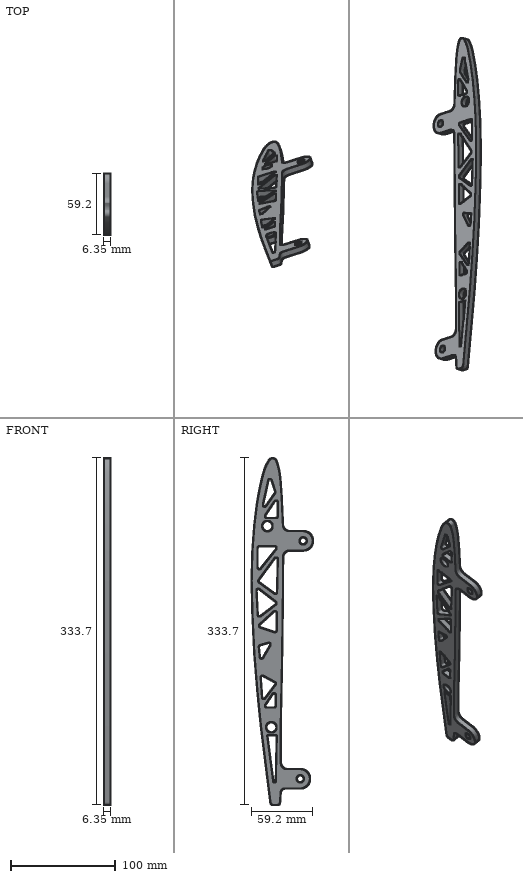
import cadquery as cq
thickness = 6.35
height = 333.72
width = 59.22

tip_back = (24.2, 330.9)
tip = (20.3, height)
tip_front = (16.6, 331.4)
bulge = (0.0, 215.0)
front_edge_above_bulge = [(14.2, 327.2), (10.1, 314.7), (5.9, 294.5), (2.9, 271.9), (0.7, 243.5)]
front_edge_below_bulge = [(0.8, 182.9), (2.5, 147.4), (4.9, 116.5), (8.9, 76.0)]
foot_front = (18.4, 0.0)
foot_back = (27.4, 0.0)
foot_corner_radius = 3.0
back_edge = [(28.2, 12.0), (28.2, 50.0), (29.2, 123.0), (30.3, 197.0), (30.6, 240.0), (30.4, 270.0)]
back_edge_near_tip = [(29.2, 296.0), (28.1, 311.5), (27.0, 320.5), tip_back]

lug_radius = 9.525
lug_bore_diameter = 6.6
lug_inner_y = 20.0
upper_lug_center = (width - lug_radius, 254.2)
lower_lug_center = (46.9, 25.4)
lug_root_radius = 6.0
foot_root_radius = 4.0
root_y = 29.5
root_reach = 3.0

cross_hole_diameter = 9.8
cross_hole_centers = [(15.3, 268.4), (19.1, 74.9)]

truss_corner_radius = 1.5
truss_openings = [
    [(17.5, 317.7), (23.0, 300.9), (9.5, 281.6)],
    [(25.1, 296.3), (25.1, 276.3), (11.7, 276.3)],
    [(25.6, 248.8), (6.0, 248.8), (6.0, 224.2)],
    [(25.3, 241.4), (24.4, 202.0), (6.1, 215.3)],
    [(4.8, 209.7), (24.9, 194.3), (6.3, 180.1)],
    [(24.1, 188.5), (24.1, 165.9), (6.0, 171.9)],
    [(19.9, 157.1), (7.1, 153.4), (8.6, 137.8)],
    [(8.8, 125.6), (24.0, 117.4), (10.6, 99.8)],
    [(23.2, 111.0), (23.2, 94.1), (11.8, 94.1)],
]

wedge_corner_radius = 0.5
wedge_opening = [(24.2, 67.2), (15.3, 67.2), (21.2, 22.2), (23.2, 22.2)]


def make_blade():
    front_points = front_edge_above_bulge + [bulge] + front_edge_below_bulge
    back_points = back_edge + back_edge_near_tip
    return (
        cq.Workplane("YZ")
        .moveTo(*tip_back)
        .threePointArc(tip, tip_front)
        .spline(front_points, includeCurrent=True)
        .lineTo(*foot_front)
        .lineTo(*foot_back)
        .spline(back_points, includeCurrent=True)
        .close()
        .extrude(thickness)
        .edges("|X and <Z")
        .fillet(foot_corner_radius)
    )


def make_lug(center):
    center_y, center_z = center
    return (
        cq.Workplane("YZ")
        .moveTo(lug_inner_y, center_z - lug_radius)
        .lineTo(center_y, center_z - lug_radius)
        .threePointArc((center_y + lug_radius, center_z), (center_y, center_z + lug_radius))
        .lineTo(lug_inner_y, center_z + lug_radius)
        .close()
        .extrude(thickness)
    )


def round_lug_root(body, root_z, radius):
    """Fillet the inside corner where a lug side at height root_z meets the back edge.

    Only an edge running through the thickness has its middle near mid-thickness.
    """
    corner = cq.selectors.BoxSelector(
        (thickness / 4, root_y - root_reach, root_z - root_reach),
        (3 * thickness / 4, root_y + root_reach, root_z + root_reach),
    )
    return body.edges(corner).fillet(radius)


def drill(body, centers, diameter):
    holes = cq.Workplane("YZ").pushPoints(centers).circle(diameter / 2).extrude(thickness)
    return body.cut(holes)


def cut_opening(body, corners, corner_radius):
    opening = cq.Workplane("YZ").polyline(corners).close().extrude(thickness)
    return body.cut(opening.edges("|X").fillet(corner_radius))


result = make_blade()
for lug_center in (upper_lug_center, lower_lug_center):
    result = result.union(make_lug(lug_center))

result = round_lug_root(result, upper_lug_center[1] + lug_radius, lug_root_radius)
result = round_lug_root(result, upper_lug_center[1] - lug_radius, lug_root_radius)
result = round_lug_root(result, lower_lug_center[1] + lug_radius, lug_root_radius)
result = round_lug_root(result, lower_lug_center[1] - lug_radius, foot_root_radius)

result = drill(result, [upper_lug_center, lower_lug_center], lug_bore_diameter)
result = drill(result, cross_hole_centers, cross_hole_diameter)

for truss_corners in truss_openings:
    result = cut_opening(result, truss_corners, truss_corner_radius)
result = cut_opening(result, wedge_opening, wedge_corner_radius)